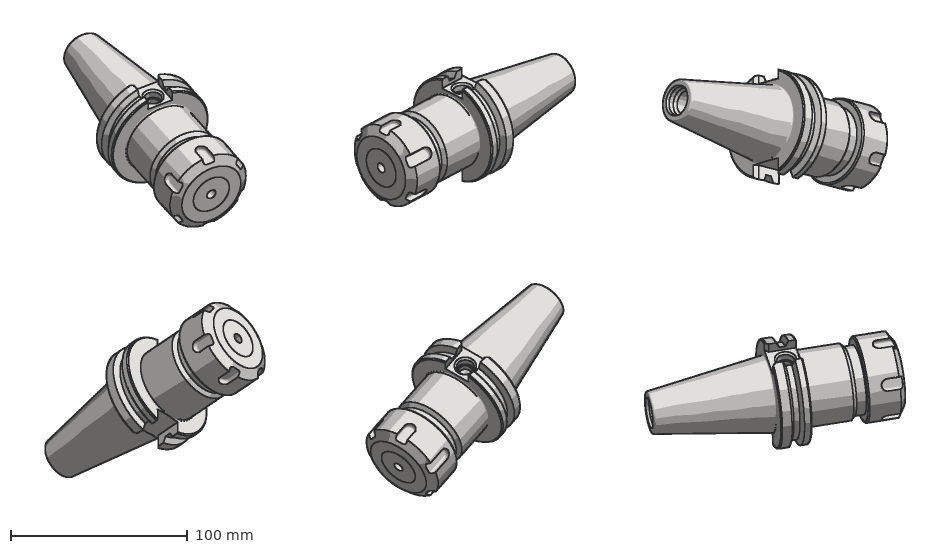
import cadquery as cq
import math

LENGTH = 144.5

GAUGE_X = 68.3
GAUGE_DIA = 44.5
TAPER_RATIO = 7 / 24
SHANK_END_ROUND = 1.0

SINK_DIA = 17.8
ENTRY_DIA = 16.5
DRAW_BORE_DIA = 13.5
SINK_DEPTH = 1.7
ENTRY_DEPTH = 5.0
STEP_LENGTH = 1.6

FLANGE_DIA = 63.3
FLANGE_START = 69.3
FLANGE_END = 87.4
FLANGE_CHAMFER = 0.7
GROOVE_DIA = 56.2
GROOVE_X = 79.3
GROOVE_FLOOR = 3.5
GROOVE_TOP = 7.2
FRONT_ROOT_ROUND = 0.9
REAR_ROOT_ROUND = FLANGE_START - GAUGE_X

SLOT_WIDTH = 16.0
SLOT_CHAMFER = 2.2
UPPER_SLOT_FLOOR = 24.5
LOWER_SLOT_FLOOR = 22.4

HOLE_SINK_DIA = 12.4
HOLE_DIA = 10.1
DRILL_DIA = 8.0
HOLE_DEPTH = 5.0
DRILL_DEPTH = 8.7
DRILL_POINT_ANGLE = 118

BODY_DIA = GAUGE_DIA
NOSE_DIA = 40.0
NOSE_START = 116.0
NOSE_END = 135.8

NUT_DIA = 50.0
NUT_START = 121.6
NUT_REAR_CHAMFER = 0.9
NUT_FACE_DIA = 38.7
NUT_BEVEL_LENGTH = 3.8
WRENCH_SLOTS = 6
WRENCH_SLOT_WIDTH = 7.1
WRENCH_SLOT_START = 130.2
LONG_SLOT_START = 126.1
LONG_SLOT_INDEX = 5
WRENCH_SLOT_FLOOR = 21.8
WRENCH_SLOT_ROUND = 1.3

COLLET_DIA = 33.0
COLLET_FACE_DIA = 23.5
COLLET_LENGTH = 40.0
COLLET_HALF_ANGLE = 8
COLLET_BORE_DIA = 5.8

COLLET_START = LENGTH - COLLET_LENGTH
COLLET_REAR_DIA = COLLET_DIA - 2 * (NOSE_END - COLLET_START) * math.tan(math.radians(COLLET_HALF_ANGLE))


def revolve_about_x(profile):
    """Revolve a closed profile drawn in X and radius about the X axis."""
    return profile.close().revolve(360, (0, 0, 0), (1, 0, 0))


def holder_blank():
    """Shank, flange, body and nose as one turned shape."""
    end_radius = (GAUGE_DIA - GAUGE_X * TAPER_RATIO) / 2
    round_end_radius = end_radius + SHANK_END_ROUND * TAPER_RATIO / 2
    gauge_radius = GAUGE_DIA / 2
    body_radius = BODY_DIA / 2
    nose_radius = NOSE_DIA / 2
    rim_radius = FLANGE_DIA / 2
    groove_radius = GROOVE_DIA / 2
    bevel = body_radius - nose_radius
    arc_offset = 1 - math.sqrt(0.5)

    profile = (
        cq.Workplane("XY")
        .moveTo(0, 0)
        .lineTo(0, end_radius - SHANK_END_ROUND)
        .threePointArc(
            (SHANK_END_ROUND * arc_offset, end_radius - SHANK_END_ROUND * arc_offset),
            (SHANK_END_ROUND, round_end_radius),
        )
        .lineTo(GAUGE_X, gauge_radius)
        .threePointArc(
            (FLANGE_START - REAR_ROOT_ROUND * arc_offset, gauge_radius + REAR_ROOT_ROUND * arc_offset),
            (FLANGE_START, gauge_radius + REAR_ROOT_ROUND),
        )
        .lineTo(FLANGE_START, rim_radius - FLANGE_CHAMFER)
        .lineTo(FLANGE_START + FLANGE_CHAMFER, rim_radius)
        .lineTo(GROOVE_X - GROOVE_TOP / 2, rim_radius)
        .lineTo(GROOVE_X - GROOVE_FLOOR / 2, groove_radius)
        .lineTo(GROOVE_X + GROOVE_FLOOR / 2, groove_radius)
        .lineTo(GROOVE_X + GROOVE_TOP / 2, rim_radius)
        .lineTo(FLANGE_END - FLANGE_CHAMFER, rim_radius)
        .lineTo(FLANGE_END, rim_radius - FLANGE_CHAMFER)
        .lineTo(FLANGE_END, body_radius + FRONT_ROOT_ROUND)
        .threePointArc(
            (FLANGE_END + FRONT_ROOT_ROUND * arc_offset, body_radius + FRONT_ROOT_ROUND * arc_offset),
            (FLANGE_END + FRONT_ROOT_ROUND, body_radius),
        )
        .lineTo(NOSE_START - bevel, body_radius)
        .lineTo(NOSE_START, nose_radius)
        .lineTo(NOSE_END, nose_radius)
        .lineTo(NOSE_END, 0)
    )
    return revolve_about_x(profile)


def holder_bore():
    """Draw bolt bore from the rear, opening into the tapered collet seat."""
    profile = (
        cq.Workplane("XY")
        .moveTo(0, 0)
        .lineTo(0, SINK_DIA / 2)
        .lineTo(SINK_DEPTH, ENTRY_DIA / 2)
        .lineTo(ENTRY_DEPTH, ENTRY_DIA / 2)
        .lineTo(ENTRY_DEPTH + STEP_LENGTH, DRAW_BORE_DIA / 2)
        .lineTo(COLLET_START, DRAW_BORE_DIA / 2)
        .lineTo(COLLET_START, COLLET_REAR_DIA / 2)
        .lineTo(NOSE_END, COLLET_DIA / 2)
        .lineTo(NOSE_END, 0)
    )
    return revolve_about_x(profile)


def drive_slot(floor, side):
    """Slot through the flange, above (side = 1) or below (side = -1) the axis."""
    half_width = SLOT_WIDTH / 2
    slot_end = FLANGE_END + FRONT_ROOT_ROUND
    outline = (
        cq.Workplane("XY", origin=(0, 0, side * floor))
        .moveTo(GAUGE_X, half_width + SLOT_CHAMFER)
        .lineTo(FLANGE_START, half_width + SLOT_CHAMFER)
        .lineTo(FLANGE_START + SLOT_CHAMFER, half_width)
        .lineTo(slot_end, half_width)
        .lineTo(slot_end, -half_width)
        .lineTo(FLANGE_START + SLOT_CHAMFER, -half_width)
        .lineTo(FLANGE_START, -half_width - SLOT_CHAMFER)
        .lineTo(GAUGE_X, -half_width - SLOT_CHAMFER)
        .close()
    )
    return outline.extrude(side * FLANGE_DIA / 2)


def slot_hole():
    """Countersunk, stepped hole with a drill point, centred on the groove."""
    sink_depth = (HOLE_SINK_DIA - HOLE_DIA) / 2
    point_length = DRILL_DIA / 2 / math.tan(math.radians(DRILL_POINT_ANGLE / 2))
    profile = (
        cq.Workplane("XZ", origin=(GROOVE_X, 0, UPPER_SLOT_FLOOR))
        .moveTo(0, 0)
        .lineTo(HOLE_SINK_DIA / 2, 0)
        .lineTo(HOLE_DIA / 2, -sink_depth)
        .lineTo(HOLE_DIA / 2, -HOLE_DEPTH)
        .lineTo(DRILL_DIA / 2, -HOLE_DEPTH)
        .lineTo(DRILL_DIA / 2, -DRILL_DEPTH)
        .lineTo(0, -DRILL_DEPTH - point_length)
        .close()
    )
    return profile.revolve(360, (0, 0, 0), (0, 1, 0))


def make_holder():
    holder = holder_blank().cut(holder_bore())
    holder = holder.cut(drive_slot(UPPER_SLOT_FLOOR, 1))
    holder = holder.cut(drive_slot(LOWER_SLOT_FLOOR, -1))
    return holder.cut(slot_hole())


def wrench_slot(start_x):
    """Round-ended slot cutter with a rounded floor, open at the front of the nut."""
    radius = WRENCH_SLOT_WIDTH / 2
    centre_x = start_x + radius
    front_x = LENGTH + radius
    outline = (
        cq.Workplane("XY", origin=(0, 0, WRENCH_SLOT_FLOOR))
        .moveTo(front_x, radius)
        .lineTo(centre_x, radius)
        .threePointArc((start_x, 0), (centre_x, -radius))
        .lineTo(front_x, -radius)
        .close()
    )
    cutter = outline.extrude(NUT_DIA / 2)
    return cutter.faces("<Z").edges("not(>X)").fillet(WRENCH_SLOT_ROUND)


def make_nut():
    """Nut around the nose, coned inside against the front of the collet."""
    radius = NUT_DIA / 2
    profile = (
        cq.Workplane("XY")
        .moveTo(NUT_START, NOSE_DIA / 2)
        .lineTo(NUT_START, radius - NUT_REAR_CHAMFER)
        .lineTo(NUT_START + NUT_REAR_CHAMFER, radius)
        .lineTo(LENGTH - NUT_BEVEL_LENGTH, radius)
        .lineTo(LENGTH, NUT_FACE_DIA / 2)
        .lineTo(LENGTH, COLLET_FACE_DIA / 2)
        .lineTo(NOSE_END, COLLET_DIA / 2)
        .lineTo(NOSE_END, NOSE_DIA / 2)
    )
    nut = revolve_about_x(profile)
    for index in range(WRENCH_SLOTS):
        start_x = LONG_SLOT_START if index == LONG_SLOT_INDEX else WRENCH_SLOT_START
        nut = nut.cut(wrench_slot(start_x).rotate((0, 0, 0), (1, 0, 0), index * 360 / WRENCH_SLOTS))
    return nut


def make_collet():
    """Double-coned collet with a through bore, seated in the holder and held by the nut."""
    profile = (
        cq.Workplane("XY")
        .moveTo(COLLET_START, COLLET_BORE_DIA / 2)
        .lineTo(COLLET_START, COLLET_REAR_DIA / 2)
        .lineTo(NOSE_END, COLLET_DIA / 2)
        .lineTo(LENGTH, COLLET_FACE_DIA / 2)
        .lineTo(LENGTH, COLLET_BORE_DIA / 2)
    )
    return revolve_about_x(profile)


holder = make_holder()
nut = make_nut()
collet = make_collet()

result = cq.Compound.makeCompound([holder.val(), nut.val(), collet.val()])